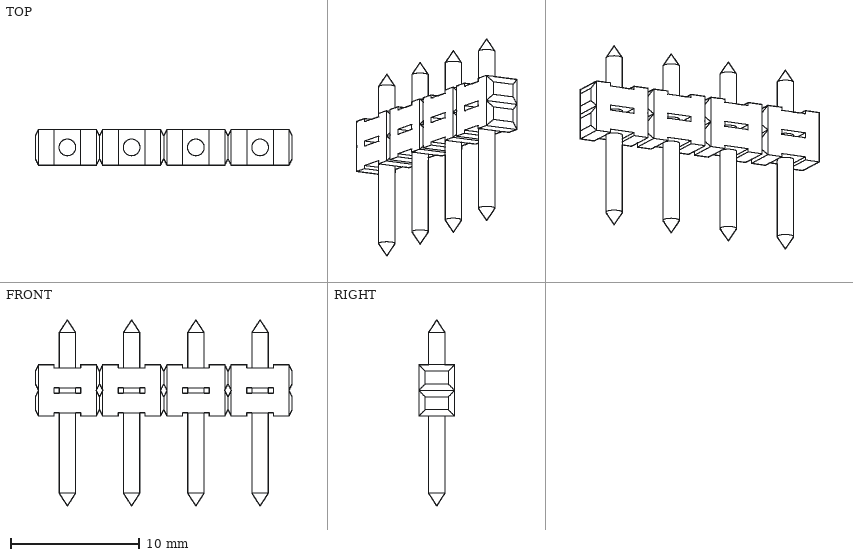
import cadquery as cq

pin_count = 4
pitch = 5.0

body_depth = 2.8
body_height = 4.0
pad_projection = 0.25
core_length = pitch - 2 * pad_projection
pads_per_end = 2
pad_height = body_height / pads_per_end
pad_inset = 0.5

channel_width = 2.05
channel_depth = 0.25
window_height = 0.4

pin_diameter = 1.3
pin_above = 3.5
pin_below = 7.0
tip_length = 1.0


def box_across(width, height, z_center):
    """Box spanning the full body depth, centred on X = 0."""
    return cq.Workplane("XY").box(width, body_depth, height).translate((0, 0, z_center))


def tapered_pad(side, z_center):
    """Truncated pyramid on one end of a block; side is +1 or -1 along X."""
    normal = (side, 0, 0)
    base_plane = cq.Plane((side * core_length / 2, 0, z_center), xDir=(0, 1, 0), normal=normal)
    return (
        cq.Workplane(base_plane)
        .rect(body_depth, pad_height)
        .workplane(offset=pad_projection)
        .rect(body_depth - 2 * pad_inset, pad_height - 2 * pad_inset)
        .loft(ruled=True)
    )


def insulator_block():
    """One block with end pads, top and bottom channels and a central window."""
    block = box_across(core_length, body_height, body_height / 2)
    for side in (-1, 1):
        for level in range(pads_per_end):
            block = block.union(tapered_pad(side, (level + 0.5) * pad_height))
    for z_center in (channel_depth / 2, body_height - channel_depth / 2):
        block = block.cut(box_across(channel_width, channel_depth, z_center))
    return block.cut(box_across(channel_width, window_height, body_height / 2))


def pointed_pin():
    """Round pin with a conical point at both ends."""
    radius = pin_diameter / 2
    top = body_height + pin_above
    bottom = -pin_below
    return (
        cq.Workplane("XZ")
        .moveTo(0, bottom)
        .lineTo(radius, bottom + tip_length)
        .lineTo(radius, top - tip_length)
        .lineTo(0, top)
        .close()
        .revolve(360, (0, 0, 0), (0, 1, 0))
    )


def header():
    """Row of identical pin positions, joined pad to pad and centred on X = 0."""
    position = insulator_block().union(pointed_pin())
    first_x = -(pin_count - 1) * pitch / 2
    row = position.translate((first_x, 0, 0))
    for index in range(1, pin_count):
        row = row.union(position.translate((first_x + index * pitch, 0, 0)))
    return row


result = header()